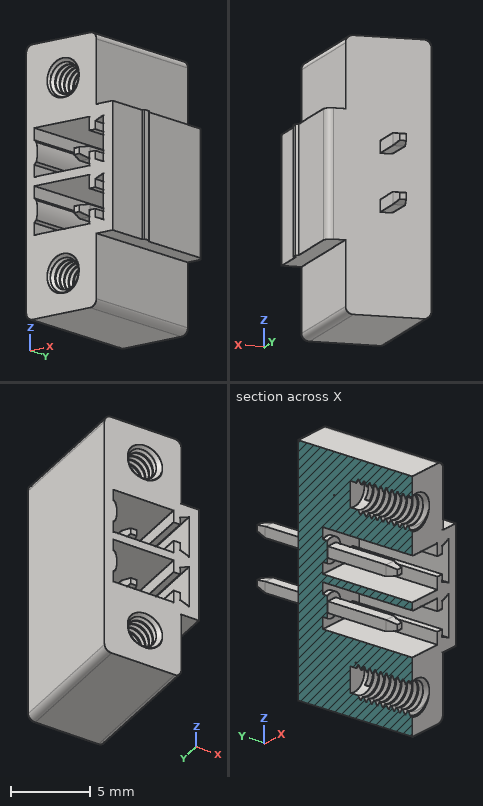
import cadquery as cq


height = 18.01
housing_depth = 9.22
flange_width = 5.71
shroud_width = 7.02
shroud_height = 8.46
edge_radius = 0.5

overall_width = 7.2
ridge_start = 2.99
ridge_length = 0.65
ridge_rise = overall_width - shroud_width

contact_x = 3.0
contact_pitch = 3.8
contact_positions = (-contact_pitch / 2, contact_pitch / 2)
pin_size = 0.81
pin_tip_size = 0.43
pin_taper = 0.8
pin_start = 1.37
pin_end = 12.7
collar_diameter = 1.8
collar_height = 0.36

pocket_depth = 7.2
pocket_left = 0.67
pocket_right = 5.13
pocket_half_height = 1.6
neck_right = 5.62
neck_half_height = 0.7
tail_right = 6.29
tail_near_half_height = 1.25
tail_far_half_height = 1.51
rib_half_height = 0.81
rib_side_rise = 0.16
rib_rise = 0.25

screw_spacing = 12.8
screw_positions = (-screw_spacing / 2, screw_spacing / 2)
bore_depth = 5.0
bore_radius = 0.99
thread_radius = 1.28
thread_pitch = 0.45
groove_width = 0.4
groove_overlap = 0.04
mouth_radius = 1.3
mouth_depth = 0.3


def front_plane(x, y, z):
    """Plane parallel to the mating face: local x is X, local y is Z, normal is -Y."""
    return cq.Workplane("XZ", origin=(x, y, z))


def make_housing():
    flange = (
        cq.Workplane("XY")
        .box(flange_width, housing_depth, height, centered=(False, False, True))
        .edges("|Y")
        .fillet(edge_radius)
    )
    shroud = (
        cq.Workplane("XY")
        .box(shroud_width, housing_depth, shroud_height, centered=(False, False, True))
        .edges(">X and >Y")
        .fillet(edge_radius)
    )
    return flange.union(shroud)


def make_ridge():
    ridge_end = ridge_start + ridge_length
    return (
        cq.Workplane("XY", origin=(0, 0, -shroud_height / 2))
        .moveTo(flange_width, ridge_start)
        .lineTo(overall_width, ridge_start)
        .lineTo(overall_width, ridge_end - ridge_rise)
        .lineTo(shroud_width, ridge_end)
        .lineTo(flange_width, ridge_end)
        .close()
        .extrude(shroud_height)
    )


def make_pocket(z):
    """T-shaped pocket with a dovetail slot on the right and a rounded rib on the left."""
    rib_arc_half_height = rib_half_height - rib_side_rise
    return (
        front_plane(0, 0, z)
        .moveTo(pocket_left, pocket_half_height)
        .lineTo(pocket_right, pocket_half_height)
        .lineTo(pocket_right, neck_half_height)
        .lineTo(neck_right, neck_half_height)
        .lineTo(neck_right, tail_near_half_height)
        .lineTo(tail_right, tail_far_half_height)
        .lineTo(tail_right, -tail_far_half_height)
        .lineTo(neck_right, -tail_near_half_height)
        .lineTo(neck_right, -neck_half_height)
        .lineTo(pocket_right, -neck_half_height)
        .lineTo(pocket_right, -pocket_half_height)
        .lineTo(pocket_left, -pocket_half_height)
        .lineTo(pocket_left, -rib_half_height)
        .lineTo(pocket_left + rib_side_rise, -rib_arc_half_height)
        .threePointArc(
            (pocket_left + rib_rise, 0),
            (pocket_left + rib_side_rise, rib_arc_half_height),
        )
        .lineTo(pocket_left, rib_half_height)
        .close()
        .extrude(-pocket_depth)
    )


def make_pin_tip(z, base_y, tip_y):
    return (
        front_plane(contact_x, base_y, z)
        .rect(pin_size, pin_size)
        .workplane(offset=base_y - tip_y)
        .rect(pin_tip_size, pin_tip_size)
        .loft(combine=True)
    )


def make_contact(z):
    """Square pin, tapered at both ends, standing in a round collar on the pocket floor."""
    shaft_start = pin_start + pin_taper
    shaft_end = pin_end - pin_taper
    shaft = front_plane(contact_x, shaft_start, z).rect(pin_size, pin_size).extrude(shaft_start - shaft_end)
    collar = front_plane(contact_x, pocket_depth, z).circle(collar_diameter / 2).extrude(collar_height)
    return (
        shaft.union(make_pin_tip(z, shaft_start, pin_start))
        .union(make_pin_tip(z, shaft_end, pin_end))
        .union(collar)
    )


def threaded_hole_cutters():
    """Cutters for a blind threaded hole along +Z with its mouth at Z = 0, in cutting order."""
    bore = cq.Workplane("XY").circle(bore_radius).extrude(bore_depth)
    mouth = cq.Workplane(cq.Solid.makeCone(mouth_radius, bore_radius, mouth_depth))
    thread_start = -thread_pitch
    inner_radius = bore_radius - groove_overlap
    path = cq.Wire.makeHelix(
        thread_pitch, bore_depth, bore_radius, center=cq.Vector(0, 0, thread_start)
    )
    groove = (
        cq.Workplane("XZ", origin=(0, 0, thread_start))
        .moveTo(inner_radius, -groove_width / 2)
        .lineTo(thread_radius, 0)
        .lineTo(inner_radius, groove_width / 2)
        .close()
        .sweep(cq.Workplane(path), isFrenet=True)
    )
    return (mouth, bore, groove)


result = make_housing().union(make_ridge())

for contact_z in contact_positions:
    result = result.cut(make_pocket(contact_z))
    result = result.union(make_contact(contact_z))

for cutter in threaded_hole_cutters():
    inward_cutter = cutter.rotate((0, 0, 0), (1, 0, 0), -90)
    for screw_z in screw_positions:
        result = result.cut(inward_cutter.translate((contact_x, 0, screw_z)))